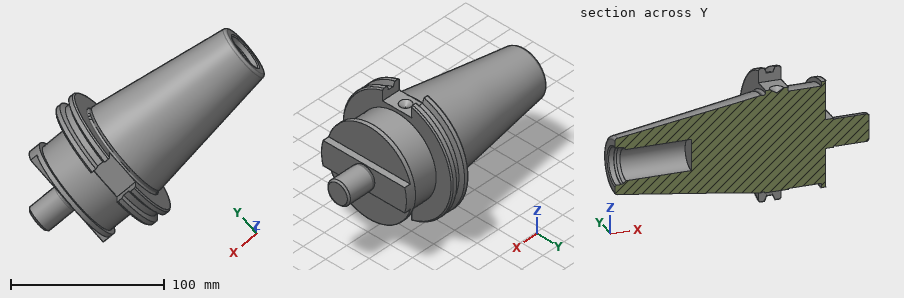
import cadquery as cq
import math

total_length = 177.1
taper_end = 101.7
neck_start = 102.7
flange_start = 104.8
flange_end = 120.8
collar_start = 143.6
collar_end = 147.0
tongue_end = 152.3
pin_neck_end = 153.4
pin_start = 154.3

body_dia = 69.8
neck_dia = 69.2
flange_dia = 98.5
collar_dia = 76.0
pin_neck_dia = 19.5
pin_dia = 20.0

taper_ratio = 7 / 24
nose_radius = 2.1

flange_chamfer = 1.0
groove_floor_dia = 91.4
groove_floor_width = 4.3
groove_mouth_width = 7.5
neck_fillet = 1.5

slot_width = 26.0
top_slot_floor = 37.7
bottom_slot_floor = 35.5
dimple_dia = 9.5
drill_point_angle = 118.0

tongue_width = 20.9
pin_chamfer = 1.5

bore_mouth_dia = 28.3
bore_chamfer_length = 0.7
counterbore_dia = 26.2
counterbore_end = 4.3
step_dia = 25.5
step_end = 6.0
bore_dia = 22.0
bore_start = 7.8
bore_depth = 53.1

flange_middle = (flange_start + flange_end) / 2


def revolve_profile(points):
    """Revolve a closed (x, radius) outline about the X axis."""
    outline = cq.Workplane("XY").polyline(points).close()
    return outline.revolve(360, (0, 0, 0), (1, 0, 0))


def cylinder(start, end, diameter):
    return cq.Workplane("YZ").workplane(offset=start).circle(diameter / 2).extrude(end - start)


def make_shank():
    """Taper with a rounded nose, and a short neck filleted into the flange face."""
    large_radius = body_dia / 2
    small_radius = large_radius - taper_end * taper_ratio / 2
    neck_radius = neck_dia / 2
    fillet_inset = neck_fillet * (1 - math.sqrt(0.5))
    outline = (
        cq.Workplane("XY")
        .lineTo(0, small_radius)
        .lineTo(taper_end, large_radius)
        .lineTo(neck_start, neck_radius)
        .lineTo(flange_start - neck_fillet, neck_radius)
        .threePointArc(
            (flange_start - fillet_inset, neck_radius + fillet_inset),
            (flange_start, neck_radius + neck_fillet),
        )
        .lineTo(flange_start, 0)
        .close()
    )
    shank = outline.revolve(360, (0, 0, 0), (1, 0, 0))
    return shank.faces("<X").edges().fillet(nose_radius)


def make_flange():
    """Chamfered flange with a V-sided groove around its rim."""
    rim = flange_dia / 2
    groove_floor = groove_floor_dia / 2
    half_floor = groove_floor_width / 2
    half_mouth = groove_mouth_width / 2
    return revolve_profile([
        (flange_start, 0),
        (flange_start, rim - flange_chamfer),
        (flange_start + flange_chamfer, rim),
        (flange_middle - half_mouth, rim),
        (flange_middle - half_floor, groove_floor),
        (flange_middle + half_floor, groove_floor),
        (flange_middle + half_mouth, rim),
        (flange_end - flange_chamfer, rim),
        (flange_end, rim - flange_chamfer),
        (flange_end, 0),
    ])


def make_slot(floor, side):
    """Box that clears the flange rim beyond the slot floor; side is +1 (top) or -1 (bottom)."""
    height = flange_dia / 2
    center = (flange_middle, 0, side * (floor + height / 2))
    return cq.Workplane("XY").box(flange_end - flange_start, slot_width, height).translate(center)


def make_fillet_trim():
    """Box that carries the bottom slot floor through the neck fillet."""
    height = flange_dia / 2
    center = (flange_start - neck_fillet / 2, 0, -(bottom_slot_floor + height / 2))
    return cq.Workplane("XY").box(neck_fillet, slot_width, height).translate(center)


def make_dimple():
    """Conical drill mark in the floor of the top slot."""
    radius = dimple_dia / 2
    depth = radius / math.tan(math.radians(drill_point_angle / 2))
    tip = cq.Vector(flange_middle, 0, top_slot_floor - depth)
    return cq.Workplane(cq.Solid.makeCone(0, radius, depth, tip, cq.Vector(0, 0, 1)))


def make_tongue():
    """Full-width drive tongue, rounded at its ends like the collar."""
    bar = cq.Workplane("XY").box(2 * tongue_end, collar_dia, tongue_width)
    return cylinder(collar_start, tongue_end, collar_dia).intersect(bar)


def make_pin():
    """Pin with a relieved neck at its root and a chamfered tip."""
    radius = pin_dia / 2
    return revolve_profile([
        (collar_end, 0),
        (collar_end, pin_neck_dia / 2),
        (pin_neck_end, pin_neck_dia / 2),
        (pin_start, radius),
        (total_length - pin_chamfer, radius),
        (total_length, radius - pin_chamfer),
        (total_length, 0),
    ])


def make_bore():
    """Stepped blind bore with a chamfered mouth."""
    return revolve_profile([
        (0, 0),
        (0, bore_mouth_dia / 2),
        (bore_chamfer_length, counterbore_dia / 2),
        (counterbore_end, counterbore_dia / 2),
        (counterbore_end, step_dia / 2),
        (step_end, step_dia / 2),
        (bore_start, bore_dia / 2),
        (bore_depth, bore_dia / 2),
        (bore_depth, 0),
    ])


flange = make_flange()
flange = flange.cut(make_slot(top_slot_floor, 1)).cut(make_slot(bottom_slot_floor, -1))
flange = flange.cut(make_dimple())

shank = make_shank().cut(make_fillet_trim())
result = shank.union(flange)
result = result.union(cylinder(flange_middle, collar_start, body_dia))
result = result.union(cylinder(collar_start, collar_end, collar_dia))
result = result.union(make_tongue()).union(make_pin())
result = result.cut(make_bore())